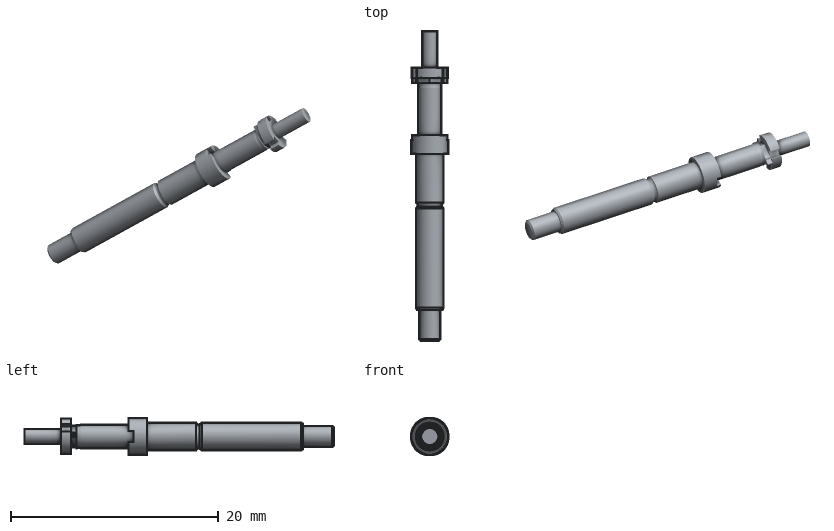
import cadquery as cq
import math

total_length = 29.8
flange_start = 3.52
flange_end = 4.5
barrel_start = 5.0
neck_end = 5.42
collar_start = 10.0
collar_end = 11.8
groove_start = 16.5
groove_bottom = 16.87
groove_end = 17.08
body_end = 26.82

plunger_radius = 1.5 / 2
flange_radius = 3.5 / 2
barrel_radius = 2.25 / 2
collar_radius = 3.6 / 2
body_radius = 2.65 / 2
groove_radius = 2.32 / 2
tail_radius = 2.03 / 2

body_chamfer_length = 0.2
body_chamfer_depth = 0.12
tail_chamfer = 0.18
neck_dip = 0.03

key_tip_radius = 1.7
key_flat_distance = 1.82 / 2
key_flat_angle = 30
slot_width = 0.8
slot_floor = 1.2
slot_angles = (30, 150, 270)
notch_width = 1.0
notch_depth = 0.48


def station(distance):
    """Plane across the axis at a distance from the tip, facing the tail."""
    return cq.Workplane("XZ", origin=(0, total_length / 2 - distance, 0))


def disc(start, end, radius):
    return station(start).circle(radius).extrude(end - start)


def point(radius, distance):
    """Point of the turned outline at a radius and a distance from the tip."""
    return (radius, total_length / 2 - distance)


def make_body():
    """Barrel, body with its round-flanked groove, and tail, turned about Y."""
    outline = (
        cq.Workplane("XY")
        .moveTo(*point(0, barrel_start))
        .lineTo(*point(barrel_radius, barrel_start))
        .threePointArc(
            point(barrel_radius - neck_dip, (barrel_start + neck_end) / 2),
            point(barrel_radius, neck_end),
        )
        .lineTo(*point(barrel_radius, collar_start + notch_depth))
        .lineTo(*point(body_radius, collar_start + notch_depth))
        .lineTo(*point(body_radius, groove_start))
        .threePointArc(
            point(groove_radius, (groove_start + groove_bottom) / 2),
            point(groove_radius, groove_bottom),
        )
        .lineTo(*point(body_radius, groove_end))
        .lineTo(*point(body_radius, body_end - body_chamfer_length))
        .lineTo(*point(body_radius - body_chamfer_depth, body_end))
        .lineTo(*point(tail_radius, body_end))
        .lineTo(*point(tail_radius, total_length - tail_chamfer))
        .lineTo(*point(tail_radius - tail_chamfer, total_length))
        .lineTo(*point(0, total_length))
        .close()
    )
    return outline.revolve(360, (0, 0, 0), (0, 1, 0))


def make_key():
    """Diamond-shaped key behind the flange, its two long tips rounded off."""
    half_width = key_flat_distance / math.sin(math.radians(key_flat_angle))
    half_height = key_flat_distance / math.cos(math.radians(key_flat_angle))
    corners = [(half_width, 0), (0, half_height), (-half_width, 0), (0, -half_height)]
    diamond = station(flange_end).polyline(corners).close().extrude(barrel_start - flange_end)
    return diamond.intersect(disc(flange_end, barrel_start, key_tip_radius))


def make_flange():
    """Flange and key, cut by three equally spaced flat-bottomed slots."""
    flange = disc(flange_start, flange_end, flange_radius).union(make_key())
    slot_length = flange_radius
    for angle in slot_angles:
        slot = (
            station(flange_start)
            .transformed(rotate=(0, 0, angle))
            .center(slot_floor + slot_length / 2, 0)
            .rect(slot_length, slot_width)
            .extrude(barrel_start - flange_start)
        )
        flange = flange.cut(slot)
    return flange


def make_collar():
    """Stop collar with a notch across its front face, down to the barrel."""
    notch_length = 3 * collar_radius
    notch = station(collar_start).rect(notch_length, notch_width).extrude(notch_depth)
    return disc(collar_start, collar_end, collar_radius).cut(notch)


plunger = disc(0, flange_start, plunger_radius)
result = make_body().union(make_collar()).union(make_flange()).union(plunger)